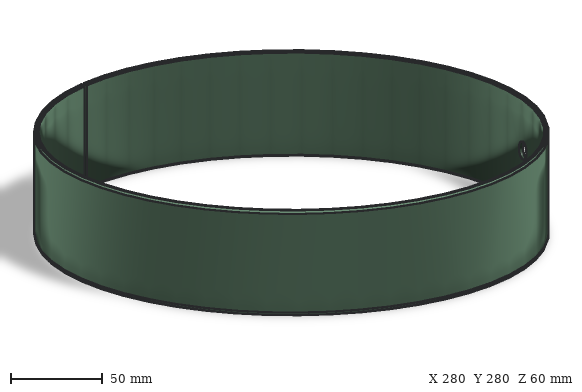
import cadquery as cq
import math

outer_diameter = 280.0
wall_thickness = 2.5
height = 60.0

bevel_height = 1.8
bevel_angle = 20.0

inner_chamfer = 0.8

gap_angle = 1.0

hole_diameter = 10.0
hole_angle = 59.0

outer_radius = outer_diameter / 2
inner_radius = outer_radius - wall_thickness
bevel_width = bevel_height * math.tan(math.radians(bevel_angle))
rim_outer_radius = outer_radius - bevel_width
rim_inner_radius = inner_radius + inner_chamfer


def make_band():
    """Open ring standing on Z = 0, swept from the -X axis through -Y."""
    wall_section = (
        cq.Workplane("XZ")
        .moveTo(-inner_radius, inner_chamfer)
        .lineTo(-rim_inner_radius, 0)
        .lineTo(-rim_outer_radius, 0)
        .lineTo(-outer_radius, bevel_height)
        .lineTo(-outer_radius, height - bevel_height)
        .lineTo(-rim_outer_radius, height)
        .lineTo(-rim_inner_radius, height)
        .lineTo(-inner_radius, height - inner_chamfer)
        .close()
    )
    return wall_section.revolve(360 - gap_angle, (0, 0, 0), (0, 1, 0))


def make_hole():
    """Radial cylinder from the axis out through the wall."""
    cylinder = (
        cq.Workplane("YZ")
        .center(0, height / 2)
        .circle(hole_diameter / 2)
        .extrude(outer_diameter)
    )
    return cylinder.rotate((0, 0, 0), (0, 0, 1), hole_angle)


result = make_band().cut(make_hole())